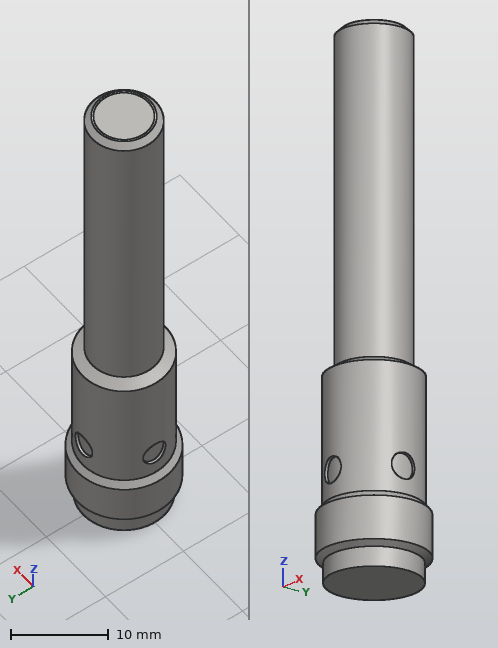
import cadquery as cq

TOTAL_HEIGHT = 60.0
COLLAR_RADIUS = 6.0
BODY_RADIUS = 5.35
STEM_RADIUS = 4.1

PLUG_RADIUS = 5.2
PLUG_HEIGHT = 2.15

COLLAR_BOTTOM = 2.7
COLLAR_TOP = 7.45
BODY_BOTTOM = 8.15
BODY_TOP = 22.4
STEM_BOTTOM = 23.15

TIP_CHAMFER = 0.65
TIP_RADIUS = 3.35
DISC_RADIUS = 3.1
DISC_HEIGHT = 0.6
DISC_BOTTOM = TOTAL_HEIGHT - DISC_HEIGHT

HOLE_COUNT = 4
HOLE_RADIUS = 1.45
HOLE_DEPTH = 0.35
HOLE_HEIGHT = 11.2


def make_plug():
    """Plain cylinder closing the bottom of the housing."""
    return cq.Workplane("XY").circle(PLUG_RADIUS).extrude(PLUG_HEIGHT)


def make_disc():
    """Flat disc seated flush with the end of the stem tip."""
    return cq.Workplane("XY").workplane(offset=DISC_BOTTOM).circle(DISC_RADIUS).extrude(DISC_HEIGHT)


def make_turned_blank():
    """Collar, body and stem revolved about Z."""
    return (
        cq.Workplane("XZ")
        .moveTo(0, PLUG_HEIGHT)
        .lineTo(PLUG_RADIUS, PLUG_HEIGHT)
        .lineTo(COLLAR_RADIUS, COLLAR_BOTTOM)
        .lineTo(COLLAR_RADIUS, COLLAR_TOP)
        .lineTo(BODY_RADIUS, BODY_BOTTOM)
        .lineTo(BODY_RADIUS, BODY_TOP)
        .lineTo(STEM_RADIUS, STEM_BOTTOM)
        .lineTo(STEM_RADIUS, TOTAL_HEIGHT - TIP_CHAMFER)
        .lineTo(TIP_RADIUS, TOTAL_HEIGHT)
        .lineTo(0, TOTAL_HEIGHT)
        .close()
        .revolve(360, (0, 0, 0), (0, 1, 0))
    )


def cut_disc_seat(housing):
    """Round recess in the stem tip that holds the disc."""
    seat = (
        cq.Workplane("XY")
        .workplane(offset=DISC_BOTTOM)
        .circle(DISC_RADIUS)
        .extrude(DISC_HEIGHT)
    )
    return housing.cut(seat)


def cut_side_holes(housing):
    """Blind radial holes whose floors follow the curve of the body at a constant depth."""
    floor_core = cq.Workplane("XY").circle(BODY_RADIUS - HOLE_DEPTH).extrude(BODY_TOP)
    drill = (
        cq.Workplane("YZ")
        .center(0, HOLE_HEIGHT)
        .circle(HOLE_RADIUS)
        .extrude(BODY_RADIUS)
        .cut(floor_core)
    )
    for index in range(HOLE_COUNT):
        angle = index * 360 / HOLE_COUNT
        housing = housing.cut(drill.rotate((0, 0, 0), (0, 0, 1), angle))
    return housing


def make_housing():
    """Turned housing with its disc seat and side holes."""
    return cut_side_holes(cut_disc_seat(make_turned_blank()))


plug = make_plug()
housing = make_housing()
disc = make_disc()

result = cq.Compound.makeCompound([plug.val(), housing.val(), disc.val()])